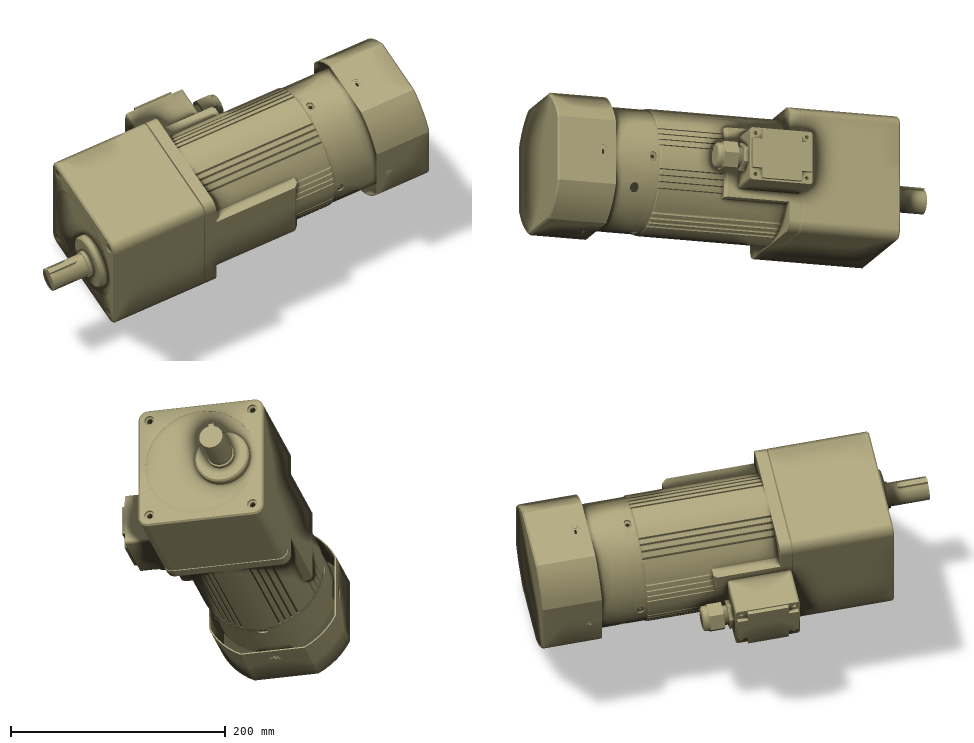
import cadquery as cq
import math

TOTAL_LENGTH = 383.5

SHAFT_OFFSET = 22.0
SHAFT_RADIUS = 11.0
SHAFT_PROJECTION = 48.7
COLLAR_RADIUS = 12.5
COLLAR_PROJECTION = 11.5
KEY_WIDTH = 5.0
KEY_LENGTH = 29.0
KEY_HEIGHT = 2.3

BODY_WIDTH = 119.5
CORNER_RADIUS = 9.2
GEARBOX_LENGTH = 97.5
RIM_CHAMFER = 1.5
FACE_RECESS_RADIUS = 53.0
FACE_RECESS_DEPTH = 0.5
BOSS_RADIUS = 25.7
BOSS_LENGTH = 7.3
BOSS_CHAMFER = 1.5
MOUNT_HOLE_PITCH = 98.5
MOUNT_HOLE_RADIUS = 2.5
MOUNT_RECESS_RADIUS = 4.5
MOUNT_RECESS_DEPTH = 2.3
MOUNT_HOLE_DEPTH = 15.5

FLANGE_LENGTH = 11.0
FRAME_RADIUS = 59.5
FRAME_LENGTH = 126.0
FRAME_CHAMFER = 1.0
GROOVE_COUNT = 4
GROOVE_PITCH = 5.8
GROOVE_DEPTH = 2.3
TOP_GROOVE_WIDTH = 2.3
TOP_GROOVE_START = 18.0
SIDE_GROOVE_WIDTH = 1.0
SIDE_GROOVE_START = 11.5
PAD_HEIGHT = 66.7
BOX_PAD_LENGTH = 63.0
BOX_PAD_CHAMFER = 2.5
PLAIN_PAD_LENGTH = 88.2
PLAIN_PAD_CHAMFER = 4.5

REAR_RADIUS = 58.3
RING_LENGTH = 12.5
RING_SLOT_Y = 241.2
RING_SLOT_LENGTH = 9.5
RING_SLOT_WIDTH = 6.5
RING_SLOT_DEPTH = 2.0
RING_HOLE_RADIUS = 2.0
RING_HOLE_DEPTH = 5.8
SHELL_REAR = 286.0
SHELL_WALL = 1.5
WIRE_HOLE_RADIUS = 4.2
WIRE_HOLE_Y = 257.0
WIRE_HOLE_Z = -29.0

COVER_FRONT = 278.5
COVER_WIDTH = 121.5
COVER_FLAT = 61.5
COVER_CHAMFER = 1.5
COVER_WALL = 1.0
COVER_SLOT_Y = 290.7
COVER_SLOT_STEPS = [
    (12.5, 8.0, 0.5),
    (8.5, 4.5, 0.8),
    (4.5, 2.3, COVER_WALL),
]

BOX_FRONT = 97.8
BOX_LENGTH = 61.0
BOX_HEIGHT = 50.2
BOX_DEPTH = 37.0
BOX_FILLET = 2.5
LID_THICKNESS = 3.5
LID_INSET = 1.5
LID_NOTCH_RADIUS = 5.8
LID_HOLE_INSET = 5.5
LID_HOLE_RADIUS = 2.0
LID_HOLE_DEPTH = 4.0

GLAND_X = -80.0
GLAND_BASE_FLATS = 23.5
GLAND_BASE_LENGTH = 4.5
GLAND_NECK_RADIUS = 9.2
GLAND_NECK_LENGTH = 4.5
GLAND_NUT_FLATS = 24.5
GLAND_NUT_LENGTH = 13.8
GLAND_DOME_RADIUS = 12.0
GLAND_DOME_LENGTH = 6.0
GLAND_DOME_FILLET = 3.0

SHAFT_TIP = -SHAFT_PROJECTION
FLANGE_REAR = GEARBOX_LENGTH + FLANGE_LENGTH
FRAME_REAR = FLANGE_REAR + FRAME_LENGTH
RING_REAR = FRAME_REAR + RING_LENGTH
COVER_REAR = SHAFT_TIP + TOTAL_LENGTH
BOX_REAR = BOX_FRONT + BOX_LENGTH
SIDE_X = BODY_WIDTH / 2
BOX_FACE_X = -SIDE_X - BOX_DEPTH


def section(start_y, x=0.0):
    """Work plane across the motor axis; local x is X and local y is Z."""
    return cq.Workplane("XZ", origin=(x, start_y, 0))


def cylinder(radius, start_y, end_y, x=0.0):
    return section(start_y, x).circle(radius).extrude(start_y - end_y)


def rounded_square(start_y, end_y):
    block = section(start_y).rect(BODY_WIDTH, BODY_WIDTH).extrude(start_y - end_y)
    return block.edges("|Y").fillet(CORNER_RADIUS)


def four_ways(cutter):
    """Copies of a cutter on the top, bottom and both sides of the motor."""
    return [cutter.rotate((0, 0, 0), (0, 1, 0), 90 * turn) for turn in range(4)]


def drill(radius, depth):
    """Blind hole cutter along +Z from the origin, with a 118 degree drill point."""
    point = radius / math.tan(math.radians(59))
    profile = [(0, 0), (radius, 0), (radius, depth), (0, depth + point)]
    return cq.Workplane("XZ").polyline(profile).close().revolve(360, (0, 0), (0, 1))


def shaft_key():
    """Key standing on the shaft, square at the tip and round at its inner end."""
    side = KEY_WIDTH / 2
    straight_end = SHAFT_TIP + KEY_LENGTH - side
    return (
        cq.Workplane("XY", origin=(SHAFT_OFFSET, 0, 0))
        .moveTo(-side, SHAFT_TIP)
        .lineTo(side, SHAFT_TIP)
        .lineTo(side, straight_end)
        .threePointArc((0, straight_end + side), (-side, straight_end))
        .close()
        .extrude(SHAFT_RADIUS + KEY_HEIGHT)
    )


def mount_hole():
    """Recessed blind hole along +Y from the origin."""
    recess = cq.Workplane("XY").circle(MOUNT_RECESS_RADIUS).extrude(MOUNT_RECESS_DEPTH)
    hole = drill(MOUNT_HOLE_RADIUS, MOUNT_HOLE_DEPTH).union(recess)
    return hole.rotate((0, 0, 0), (1, 0, 0), -90)


def make_gearbox():
    gearbox = rounded_square(0, GEARBOX_LENGTH)
    gearbox = gearbox.faces("<Y or >Y").edges().chamfer(RIM_CHAMFER)
    gearbox = gearbox.cut(cylinder(FACE_RECESS_RADIUS, 0, FACE_RECESS_DEPTH))
    boss = cylinder(BOSS_RADIUS, -BOSS_LENGTH, FACE_RECESS_DEPTH, SHAFT_OFFSET)
    gearbox = gearbox.union(boss.faces("<Y").edges().chamfer(BOSS_CHAMFER))
    gearbox = gearbox.union(cylinder(COLLAR_RADIUS, -COLLAR_PROJECTION, 0, SHAFT_OFFSET))
    gearbox = gearbox.union(cylinder(SHAFT_RADIUS, SHAFT_TIP, 0, SHAFT_OFFSET))
    gearbox = gearbox.union(shaft_key())
    for side in (-1, 1):
        for level in (-1, 1):
            spot = (side * MOUNT_HOLE_PITCH / 2, 0, level * MOUNT_HOLE_PITCH / 2)
            gearbox = gearbox.cut(mount_hole().translate(spot))
    return gearbox


def groove(offset, width):
    """Cutter for one straight groove in the top of the frame, at a distance from the middle."""
    floor = math.sqrt(FRAME_RADIUS**2 - offset**2) - GROOVE_DEPTH
    return cq.Workplane("XY").box(width, FRAME_LENGTH, FRAME_RADIUS, centered=(True, False, False)).translate(
        (offset, FLANGE_REAR, floor)
    )


def pad(side, length, chamfer):
    """Flat pad on one side of the frame, with its rear edge sloped; side is -1 or +1."""
    block = cq.Workplane("XY").box(SIDE_X, length, PAD_HEIGHT)
    block = block.translate((side * SIDE_X / 2, FLANGE_REAR + length / 2, 0))
    outer = ">X" if side > 0 else "<X"
    return block.faces(outer).edges(">Y").chamfer(chamfer)


def make_frame():
    frame = cylinder(FRAME_RADIUS, FLANGE_REAR, FRAME_REAR)
    frame = frame.faces(">Y").edges().chamfer(FRAME_CHAMFER)
    for turn in (0, 90, 180, 270):
        on_side = turn in (90, 270)
        start = SIDE_GROOVE_START if on_side else TOP_GROOVE_START
        width = SIDE_GROOVE_WIDTH if on_side else TOP_GROOVE_WIDTH
        for index in range(GROOVE_COUNT):
            offset = start + index * GROOVE_PITCH
            for mirrored in (-offset, offset):
                cutter = groove(mirrored, width)
                frame = frame.cut(cutter.rotate((0, 0, 0), (0, 1, 0), turn))
    frame = frame.union(rounded_square(GEARBOX_LENGTH, FLANGE_REAR))
    frame = frame.union(pad(-1, BOX_PAD_LENGTH, BOX_PAD_CHAMFER))
    return frame.union(pad(1, PLAIN_PAD_LENGTH, PLAIN_PAD_CHAMFER))


def make_end_ring():
    ring = cylinder(REAR_RADIUS, FRAME_REAR, RING_REAR)
    slot = (
        cq.Workplane("XY", origin=(0, RING_SLOT_Y, REAR_RADIUS - RING_SLOT_DEPTH))
        .slot2D(RING_SLOT_LENGTH, RING_SLOT_WIDTH)
        .extrude(REAR_RADIUS)
    )
    hole = drill(RING_HOLE_RADIUS, RING_HOLE_DEPTH).rotate((0, 0, 0), (1, 0, 0), 180)
    slot = slot.union(hole.translate((0, RING_SLOT_Y, REAR_RADIUS)))
    for cutter in four_ways(slot):
        ring = ring.cut(cutter)
    return ring


def make_rear_shell():
    shell = cylinder(REAR_RADIUS, RING_REAR, SHELL_REAR)
    shell = shell.cut(cylinder(REAR_RADIUS - SHELL_WALL, RING_REAR, SHELL_REAR))
    wire_hole = (
        cq.Workplane("YZ", origin=(-REAR_RADIUS, 0, 0))
        .center(WIRE_HOLE_Y, WIRE_HOLE_Z)
        .circle(WIRE_HOLE_RADIUS)
        .extrude(REAR_RADIUS)
    )
    return shell.cut(wire_hole)


def cover_block(inset, end_y):
    """Solid square block with round corners, inset from the outside of the cover."""
    width = COVER_WIDTH - 2 * inset
    corner_radius = math.hypot(COVER_WIDTH, COVER_FLAT) / 2 - inset
    square = section(COVER_FRONT).rect(width, width).extrude(COVER_FRONT - end_y)
    return cylinder(corner_radius, COVER_FRONT, end_y).intersect(square)


def make_fan_cover():
    cover = cover_block(0, COVER_REAR).faces(">Y").edges().chamfer(COVER_CHAMFER)
    cover = cover.cut(cover_block(COVER_WALL, COVER_REAR - COVER_CHAMFER - COVER_WALL))
    for length, width, depth in COVER_SLOT_STEPS:
        slot = (
            cq.Workplane("XY", origin=(0, COVER_SLOT_Y, COVER_WIDTH / 2 - depth))
            .slot2D(length, width)
            .extrude(depth)
        )
        for cutter in four_ways(slot):
            cover = cover.cut(cutter)
    return cover


def make_terminal_box():
    middle = BOX_FRONT + BOX_LENGTH / 2
    face = cq.Workplane("YZ", origin=(BOX_FACE_X, middle, 0))
    box = face.rect(BOX_LENGTH, BOX_HEIGHT).extrude(BOX_DEPTH).edges("|X").fillet(BOX_FILLET)

    hole_spread_y = BOX_LENGTH - 2 * LID_HOLE_INSET
    hole_spread_z = BOX_HEIGHT - 2 * LID_HOLE_INSET
    lid = face.rect(BOX_LENGTH - 2 * LID_INSET, BOX_HEIGHT - 2 * LID_INSET).extrude(-LID_THICKNESS)
    notches = (
        face.rect(hole_spread_y, hole_spread_z, forConstruction=True)
        .vertices()
        .rect(2 * LID_NOTCH_RADIUS, 2 * LID_NOTCH_RADIUS)
        .extrude(-LID_THICKNESS)
    )
    holes = (
        face.rect(hole_spread_y, hole_spread_z, forConstruction=True)
        .vertices()
        .circle(LID_HOLE_RADIUS)
        .extrude(LID_HOLE_DEPTH)
    )
    return box.union(lid.cut(notches)).cut(holes)


def make_gland():
    def hexagon(flats, turn, start_y, length):
        corners = flats / math.cos(math.pi / 6)
        prism = section(start_y, GLAND_X).polygon(6, corners).extrude(-length)
        return prism.rotate((GLAND_X, 0, 0), (GLAND_X, 1, 0), turn)

    neck_start = BOX_REAR + GLAND_BASE_LENGTH
    nut_start = neck_start + GLAND_NECK_LENGTH
    dome_start = nut_start + GLAND_NUT_LENGTH
    dome = cylinder(GLAND_DOME_RADIUS, dome_start, dome_start + GLAND_DOME_LENGTH, GLAND_X)
    dome = dome.faces(">Y").edges().fillet(GLAND_DOME_FILLET)
    gland = hexagon(GLAND_BASE_FLATS, 30, BOX_REAR, GLAND_BASE_LENGTH)
    gland = gland.union(cylinder(GLAND_NECK_RADIUS, neck_start, nut_start, GLAND_X))
    gland = gland.union(hexagon(GLAND_NUT_FLATS, 0, nut_start, GLAND_NUT_LENGTH))
    return gland.union(dome)


result = cq.Compound.makeCompound([
    make_gearbox().val(),
    make_frame().val(),
    make_end_ring().val(),
    make_rear_shell().val(),
    make_fan_cover().val(),
    make_terminal_box().val(),
    make_gland().val(),
])